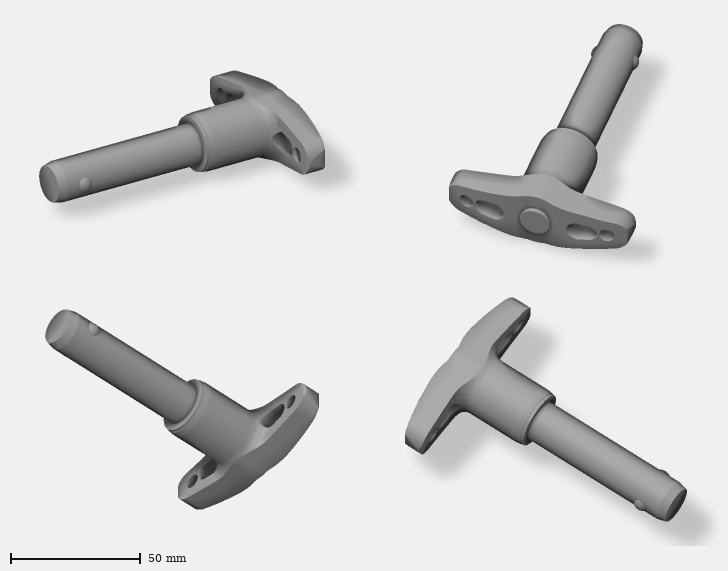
import cadquery as cq
import math

TOTAL_LENGTH = 106.2

HANDLE_HALF_LENGTH = 37.4
HUB_RADIUS = 12.3
END_RADIUS = 7.0
END_CENTRE = HANDLE_HALF_LENGTH - END_RADIUS

DIMPLE_DEPTH = 1.6
DIMPLE_HALF_WIDTH = 3.4
DIMPLE_EDGE = (7.6, -0.6)
SHOULDER_MIDDLE = (10.4, -0.4)
CREST = (13.8, -0.4)
CROWN_MIDDLE = (25.5, -1.8)
CROWN_END = (36.2, -4.1)
UNDERSIDE_Y = -12.4
UNDERSIDE_PEAK = -11.4
END_WIDEST_Y = -10.7
END_FILLET = 1.4
CROWN_ROUNDING = 0.3
BLANK_HALF_WIDTH = 21.2

HOLE_RADIUS = 3.0
HOLE_OFFSET = 28.6
SLOT_INNER_RADIUS = 4.2
SLOT_INNER_OFFSET = 17.0
SLOT_OUTER_RADIUS = 3.6
SLOT_OUTER_OFFSET = 21.2

BUTTON_RADIUS = 6.1
BUTTON_ROUNDING = 0.3

COLLAR_RADIUS = 11.8
COLLAR_TAPER_RADIUS = 11.5
COLLAR_RING_RADIUS = 11.2
COLLAR_TAPER_START = -38.4
COLLAR_TAPER_END = -40.8
COLLAR_END = -42.1
FLARE_RADIUS = 5.3
STUB_END = -19.1

PIN_RADIUS = 8.3
TIP_RADIUS = 7.3
TIP_LENGTH = 3.6
BALL_RADIUS = 3.6
BALL_REACH = 9.6
BALL_Y = -94.8


def tapered_outline(inner_offset, inner_radius, outer_offset, outer_radius):
    """XZ outline around two circles on the X axis, joined by their common tangents."""
    tilt = math.asin((inner_radius - outer_radius) / (outer_offset - inner_offset))

    def tangent_point(offset, radius, side):
        return offset + radius * math.sin(tilt), side * radius * math.cos(tilt)

    return (
        cq.Workplane("XZ")
        .moveTo(*tangent_point(inner_offset, inner_radius, 1))
        .lineTo(*tangent_point(outer_offset, outer_radius, 1))
        .threePointArc((outer_offset + outer_radius, 0), tangent_point(outer_offset, outer_radius, -1))
        .lineTo(*tangent_point(inner_offset, inner_radius, -1))
        .threePointArc((inner_offset - inner_radius, 0), tangent_point(inner_offset, inner_radius, 1))
        .close()
    )


def both_sides(half):
    return half.union(half.mirror("YZ"))


def opposite(point):
    """The same profile point on the -X half."""
    return -point[0], point[1]


def axis_disc(radius, start_y, end_y):
    return cq.Workplane("XZ", origin=(0, start_y, 0)).circle(radius).extrude(start_y - end_y)


def handle_prism():
    """Everything inside the handle outline, down past the flare."""
    wing = tapered_outline(0, HUB_RADIUS, END_CENTRE, END_RADIUS).extrude(-STUB_END)
    return both_sides(wing)


def handle_bar():
    """Crowned bar with a dimple at the button and slightly raked, rounded ends."""
    rake = (HANDLE_HALF_LENGTH - CROWN_END[0]) / (CROWN_END[1] - END_WIDEST_Y)
    foot = (HANDLE_HALF_LENGTH + rake * (END_WIDEST_Y - UNDERSIDE_Y), UNDERSIDE_Y)
    dimple_floor = (DIMPLE_HALF_WIDTH, -DIMPLE_DEPTH)
    bar = (
        cq.Workplane("XY")
        .moveTo(*opposite(foot))
        .threePointArc((0, UNDERSIDE_PEAK), foot)
        .lineTo(*CROWN_END)
        .threePointArc(CROWN_MIDDLE, CREST)
        .threePointArc(SHOULDER_MIDDLE, DIMPLE_EDGE)
        .lineTo(*dimple_floor)
        .lineTo(*opposite(dimple_floor))
        .lineTo(*opposite(DIMPLE_EDGE))
        .threePointArc(opposite(SHOULDER_MIDDLE), opposite(CREST))
        .threePointArc(opposite(CROWN_MIDDLE), opposite(CROWN_END))
        .close()
        .extrude(BLANK_HALF_WIDTH, both=True)
    )
    for foot_x, foot_y in (foot, opposite(foot)):
        lower_edge = cq.selectors.NearestToPointSelector((foot_x, foot_y, 0))
        bar = bar.edges(lower_edge).fillet(END_FILLET)
    return bar


def crown_zone():
    """Selects the edges of the crowned face by their centres."""
    return cq.selectors.BoxSelector(
        (-HANDLE_HALF_LENGTH, CROWN_END[1] - CROWN_ROUNDING, -BLANK_HALF_WIDTH),
        (HANDLE_HALF_LENGTH, 0, BLANK_HALF_WIDTH),
    )


def dimple_creases():
    """Selects the edges that cross the crowned face beside the button."""
    reach = CREST[0] + BUTTON_RADIUS
    return cq.selectors.BoxSelector(
        (-reach, UNDERSIDE_PEAK, -BUTTON_RADIUS), (reach, 0, BUTTON_RADIUS)
    )


def handle():
    """Bar and collar stub blended together, trimmed to the outline and pierced."""
    stub = axis_disc(COLLAR_RADIUS, -DIMPLE_DEPTH, STUB_END)
    blank = handle_bar().union(stub)
    joint = cq.selectors.NearestToPointSelector((0, UNDERSIDE_PEAK, 0))
    blended = blank.edges(joint).fillet(FLARE_RADIUS)
    trimmed = blended.intersect(handle_prism())
    crown_rim = trimmed.edges(crown_zone()).edges(cq.selectors.InverseSelector(dimple_creases()))
    return crown_rim.fillet(CROWN_ROUNDING).cut(wing_openings())


def wing_openings():
    """Round hole and tapered slot through each wing."""
    depth = -STUB_END
    hole = cq.Workplane("XZ").center(HOLE_OFFSET, 0).circle(HOLE_RADIUS).extrude(depth)
    slot = tapered_outline(
        SLOT_INNER_OFFSET, SLOT_INNER_RADIUS, SLOT_OUTER_OFFSET, SLOT_OUTER_RADIUS
    ).extrude(depth)
    return both_sides(hole.union(slot))


def collar_and_pin():
    """Turned collar, end ring and pin with a tapered tip."""
    return (
        cq.Workplane("XY")
        .moveTo(0, STUB_END)
        .lineTo(COLLAR_RADIUS, STUB_END)
        .lineTo(COLLAR_RADIUS, COLLAR_TAPER_START)
        .lineTo(COLLAR_TAPER_RADIUS, COLLAR_TAPER_END)
        .lineTo(COLLAR_RING_RADIUS, COLLAR_TAPER_END)
        .lineTo(COLLAR_RING_RADIUS, COLLAR_END)
        .lineTo(PIN_RADIUS, COLLAR_END)
        .lineTo(PIN_RADIUS, TIP_LENGTH - TOTAL_LENGTH)
        .lineTo(TIP_RADIUS, -TOTAL_LENGTH)
        .lineTo(0, -TOTAL_LENGTH)
        .close()
        .revolve(360, (0, 0, 0), (0, 1, 0))
    )


def locking_balls():
    ball = cq.Workplane("XY").sphere(BALL_RADIUS).translate((BALL_REACH - BALL_RADIUS, BALL_Y, 0))
    return ball.union(ball.mirror("YZ"))


button = axis_disc(BUTTON_RADIUS, 0, UNDERSIDE_PEAK).faces(">Y").edges().fillet(BUTTON_ROUNDING)
result = handle().union(button).union(collar_and_pin()).union(locking_balls())